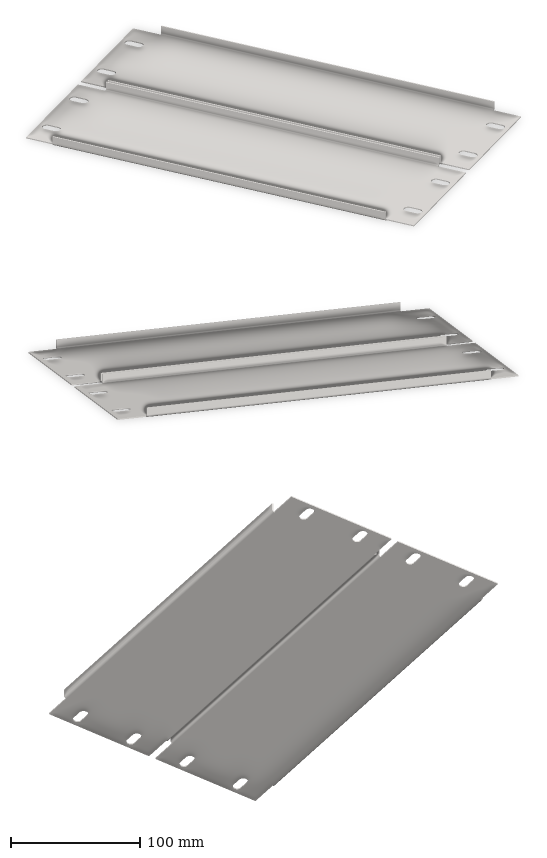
import cadquery as cq

panel_length = 332.0
overall_width = 198.0
tray_gap = 2.0
tray_width = (overall_width - tray_gap) / 2
tray_pitch = tray_width + tray_gap

sheet_thickness = 1.0
inner_bend_radius = 1.0
outer_bend_radius = inner_bend_radius + sheet_thickness
flange_height = 8.0
flange_length = 285.0
flat_width = tray_width - 2 * outer_bend_radius

slot_length = 15.3
slot_width = 7.3
slot_spacing_x = 309.5
slot_spacing_y = tray_pitch / 2


def make_flat():
    """Flat web of a tray, with its underside at Z = 0."""
    return cq.Workplane("XY").box(
        panel_length, flat_width, sheet_thickness, centered=(True, True, False)
    )


def make_flange():
    """Upturned flange on the +Y side, with its rounded bend."""
    half_flat = flat_width / 2
    outer_face = tray_width / 2
    inner_face = outer_face - sheet_thickness
    return (
        cq.Workplane("YZ")
        .moveTo(half_flat, 0)
        .radiusArc((outer_face, outer_bend_radius), -outer_bend_radius)
        .lineTo(outer_face, flange_height)
        .lineTo(inner_face, flange_height)
        .lineTo(inner_face, outer_bend_radius)
        .radiusArc((half_flat, sheet_thickness), inner_bend_radius)
        .close()
        .extrude(flange_length / 2, both=True)
    )


def make_slots():
    """Cutters for the four mounting slots, long along X."""
    return (
        cq.Workplane("XY")
        .rarray(slot_spacing_x, slot_spacing_y, 2, 2)
        .slot2D(slot_length, slot_width)
        .extrude(sheet_thickness)
    )


def make_tray(center_y):
    """One panel with a flange along each long side."""
    flange = make_flange()
    tray = make_flat().union(flange).union(flange.mirror("XZ")).cut(make_slots())
    return tray.translate((0, center_y, 0))


trays = [make_tray(side * tray_pitch / 2) for side in (-1, 1)]

result = cq.Compound.makeCompound([tray.val() for tray in trays])